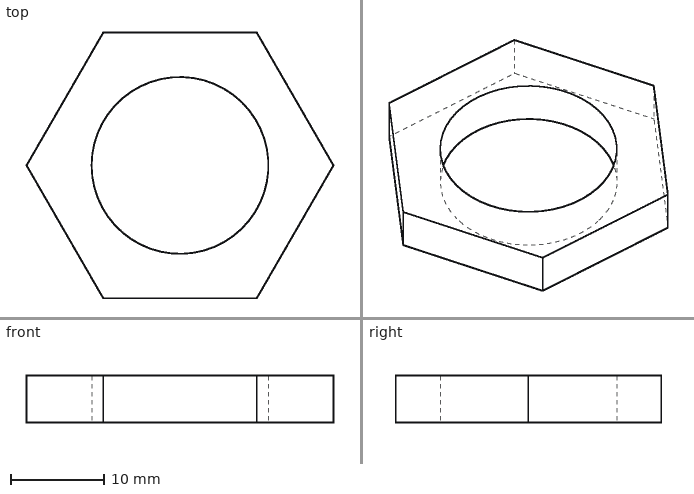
import cadquery as cq

across_corners = 33.02
thickness = 5.1
bore_diameter = 19.0

body = cq.Workplane("XY").polygon(6, across_corners).extrude(thickness)

result = body.faces(">Z").workplane().hole(bore_diameter)